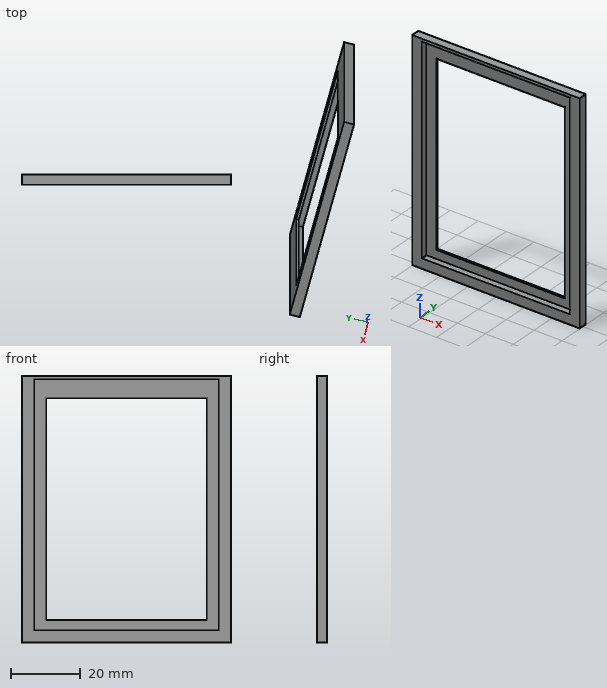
import cadquery as cq

frame_width = 60.0
frame_depth = 3.0
frame_height = 76.5

recess_side_border = 3.5
recess_top_border = 1.0
recess_bottom_border = 3.5
recess_depth = 2.2

window_side_border = 7.0
window_top_border = 6.5
window_bottom_border = 6.5


def bordered_block(side_border, top_border, bottom_border, depth):
    """Block starting at the front face, inset from the frame outline by the given borders."""
    width = frame_width - 2 * side_border
    height = frame_height - top_border - bottom_border
    block = cq.Workplane("XY").box(width, depth, height, centered=(True, False, False))
    return block.translate((0, 0, bottom_border))


frame = bordered_block(0, 0, 0, frame_depth)
recess = bordered_block(recess_side_border, recess_top_border, recess_bottom_border, recess_depth)
window = bordered_block(window_side_border, window_top_border, window_bottom_border, frame_depth)

result = frame.cut(recess).cut(window)